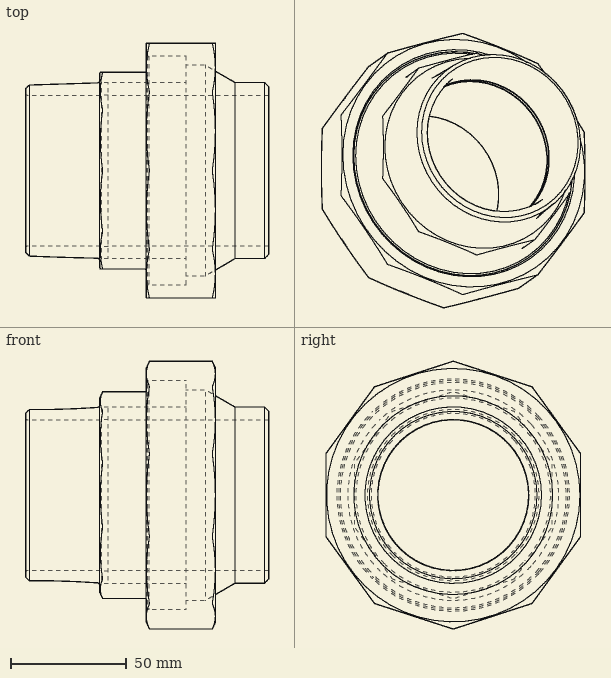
import cadquery as cq
import math


SIDES = 10
HALF_SIDE_ANGLE = math.pi / SIDES
SMALL_RADIUS = 1.0
CORNER_CUT_ANGLE = 25.0
BORE_R = 65.0 / 2
OVERALL_LENGTH = 105.0

THREAD_END_R = 75.8 / 2
THREAD_TAPER = 1 / 32
THREAD_CHAMFER = 1.6
GRIP_X = 32.0
GRIP_ACROSS_FLATS = 85.0
GRIP_FOOT_RADIUS = 0.8
GRIP_FACE_R = 83.9 / 2
BARREL_X = 52.5
BARREL_END_X = 69.3
BARREL_R = 98.9 / 2
BARREL_FACE_R = 97.4 / 2

SEAL_X = 32.8
SEAL_LENGTH = 2.8
SEAL_BORE_R = 65.4 / 2

NUT_X = 52.0
NUT_LENGTH = 30.0
NUT_ACROSS_CORNERS = 115.6
NUT_FACE_R = 109.3 / 2
NUT_MOUTH_R = 100.3 / 2

PIPE_R = 76.2 / 2
PIPE_CHAMFER = 2.0
CONE_END_X = 90.4
CONE_ANGLE = 30.0
COLLAR_R = 91.0 / 2

seal_end_x = SEAL_X + SEAL_LENGTH
nut_end_x = NUT_X + NUT_LENGTH
spigot_r = PIPE_R
cone_slope = math.tan(math.radians(CONE_ANGLE))
cone_start_x = CONE_END_X - (COLLAR_R - PIPE_R) / cone_slope
nut_seat_r = PIPE_R + (CONE_END_X - nut_end_x) * cone_slope
corner_loss = 2 * SMALL_RADIUS * (1 / math.cos(HALF_SIDE_ANGLE) - 1)
nut_across_flats = (NUT_ACROSS_CORNERS + corner_loss) * math.cos(HALF_SIDE_ANGLE)


def turned(points):
    """Solid of revolution about the X axis from (x, radius) points."""
    return cq.Workplane("XY").polyline(points).close().revolve(360, (0, 0), (1, 0))


def cylinder(start_x, end_x, radius):
    return cq.Workplane("YZ", origin=(start_x, 0, 0)).circle(radius).extrude(end_x - start_x)


def ten_sided_bar(start_x, end_x, across_flats):
    """Ten-sided bar with rounded corners, one of them pointing to +Z."""
    corner_diameter = across_flats / math.cos(HALF_SIDE_ANGLE)
    bar = cq.Workplane("YZ", origin=(start_x, 0, 0)).polygon(SIDES, corner_diameter).extrude(end_x - start_x)
    bar = bar.edges("|X").fillet(SMALL_RADIUS)
    return bar.rotate((0, 0, 0), (1, 0, 0), math.degrees(HALF_SIDE_ANGLE))


def corner_cutter(start_x, end_x, face_r, across_flats, both_ends):
    """Turned envelope that chamfers the corners of a ten-sided bar when intersected with it."""
    outer_r = across_flats / 2 / math.cos(HALF_SIDE_ANGLE)
    depth = (outer_r - face_r) * math.tan(math.radians(CORNER_CUT_ANGLE))
    points = [(start_x, 0), (start_x, face_r), (start_x + depth, outer_r)]
    if both_ends:
        points += [(end_x - depth, outer_r), (end_x, face_r)]
    else:
        points += [(end_x, outer_r)]
    points += [(end_x, 0)]
    return turned(points)


def make_tail():
    barrel_chamfer = BARREL_R - BARREL_FACE_R
    barrel = cylinder(BARREL_X, BARREL_END_X, BARREL_R).faces("<X").chamfer(barrel_chamfer)
    grip = ten_sided_bar(GRIP_X, BARREL_X, GRIP_ACROSS_FLATS)
    grip = grip.intersect(corner_cutter(GRIP_X, BARREL_X, GRIP_FACE_R, GRIP_ACROSS_FLATS, False))
    margin = 0.1
    foot_reach = BARREL_FACE_R - margin
    foot_edges = cq.selectors.BoxSelector(
        (BARREL_X - margin, -foot_reach, -foot_reach),
        (BARREL_X + margin, foot_reach, foot_reach),
        boundingbox=True,
    )
    body = barrel.union(grip).edges(foot_edges).fillet(GRIP_FOOT_RADIUS)

    cone_end_x = GRIP_X - SMALL_RADIUS
    tip_r = THREAD_END_R - (cone_end_x - THREAD_CHAMFER) * THREAD_TAPER
    flare_bend = SMALL_RADIUS * (1 - math.sqrt(0.5))
    cone = (
        cq.Workplane("XY")
        .moveTo(0, 0)
        .lineTo(0, tip_r - THREAD_CHAMFER)
        .lineTo(THREAD_CHAMFER, tip_r)
        .lineTo(cone_end_x, THREAD_END_R)
        .threePointArc((GRIP_X - flare_bend, THREAD_END_R + flare_bend), (GRIP_X, THREAD_END_R + SMALL_RADIUS))
        .lineTo(GRIP_X, 0)
        .close()
        .revolve(360, (0, 0), (1, 0))
    )
    body = body.union(cone)

    body = body.cut(cylinder(0, BARREL_END_X, BORE_R))
    mouth_edge = cq.selectors.RadiusNthSelector(0)
    body = body.faces("<X").edges(mouth_edge).fillet(SMALL_RADIUS)
    return body.cut(cylinder(SEAL_X, BARREL_END_X, spigot_r))


def make_seal():
    return cylinder(SEAL_X, seal_end_x, spigot_r).cut(cylinder(SEAL_X, seal_end_x, SEAL_BORE_R))


def make_weld_end():
    outer = turned([
        (seal_end_x, 0),
        (seal_end_x, spigot_r),
        (BARREL_END_X, spigot_r),
        (BARREL_END_X, COLLAR_R),
        (cone_start_x, COLLAR_R),
        (CONE_END_X, PIPE_R),
        (OVERALL_LENGTH - PIPE_CHAMFER, PIPE_R),
        (OVERALL_LENGTH, PIPE_R - PIPE_CHAMFER),
        (OVERALL_LENGTH, 0),
    ])
    return outer.cut(cylinder(seal_end_x, OVERALL_LENGTH, BORE_R))


def make_nut():
    body = ten_sided_bar(NUT_X, nut_end_x, nut_across_flats)
    body = body.intersect(corner_cutter(NUT_X, nut_end_x, NUT_FACE_R, nut_across_flats, True))
    inside = turned([
        (NUT_X, 0),
        (NUT_X, NUT_MOUTH_R),
        (NUT_X + NUT_MOUTH_R - BARREL_R, BARREL_R),
        (BARREL_END_X, BARREL_R),
        (BARREL_END_X, COLLAR_R),
        (cone_start_x, COLLAR_R),
        (nut_end_x, nut_seat_r),
        (nut_end_x, 0),
    ])
    return body.cut(inside)


tail = make_tail()
seal = make_seal()
weld_end = make_weld_end()
nut = make_nut()

result = cq.Compound.makeCompound([tail.val(), seal.val(), weld_end.val(), nut.val()])